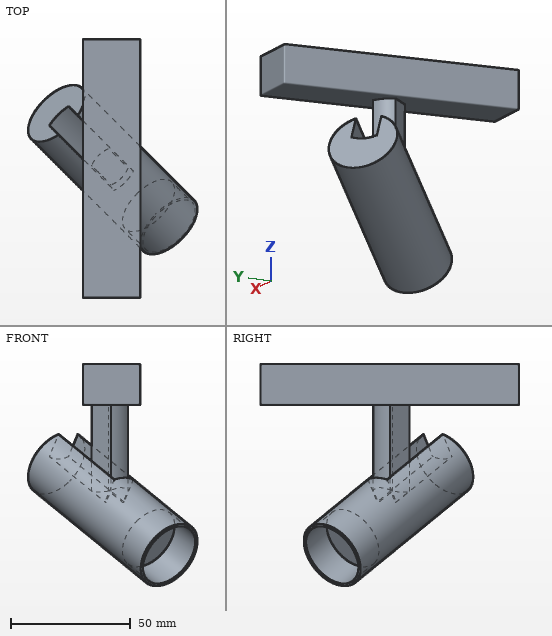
import cadquery as cq
import math

RAIL_LENGTH = 108.0
RAIL_WIDTH = 24.0
RAIL_HEIGHT = 17.2
RAIL_FILLET = 0.6

AIM_ANGLE = -45.0
TILT = 30.0

LAMP_DIAMETER = 30.0
LAMP_LENGTH = 76.77
LAMP_OFFSET = 0.7
OVERALL_HEIGHT = 92.69
BORE_DIAMETER = 27.6
BORE_DEPTH = 14.0

ARM_OFFSET = -1.0
ARM_THICKNESS = 10.0
ARM_FLAT_LENGTH = 11.5
ARM_END_BULGE = 0.95

SLOT_WIDTH = 11.3
SLOT_FLOOR_EDGE = 3.05
SLOT_FLOOR_SAG = 1.2
SLOT_END = -0.5
SLOT_END_BULGE = 0.4

LAMP_RADIUS = LAMP_DIAMETER / 2
TILT_RAD = math.radians(TILT)
LAMP_HALF_DROP = LAMP_LENGTH / 2 * math.sin(TILT_RAD) + LAMP_RADIUS * math.cos(TILT_RAD)
LAMP_CENTRE_Z = LAMP_HALF_DROP - OVERALL_HEIGHT
ARM_FOOT_Z = LAMP_CENTRE_Z


def make_rail():
    box = cq.Workplane("XY").box(RAIL_WIDTH, RAIL_LENGTH, RAIL_HEIGHT)
    return box.edges().fillet(RAIL_FILLET).translate((0, 0, -RAIL_HEIGHT / 2))


def make_arm():
    """Vertical bar from the rail's underside down into the lamp, long side on X."""
    half_flat = ARM_FLAT_LENGTH / 2
    half_thick = ARM_THICKNESS / 2
    tip = half_flat + ARM_END_BULGE
    return (
        cq.Workplane("XY", origin=(ARM_OFFSET, 0, ARM_FOOT_Z))
        .moveTo(-half_flat, -half_thick)
        .lineTo(half_flat, -half_thick)
        .threePointArc((tip, 0), (half_flat, half_thick))
        .lineTo(-half_flat, half_thick)
        .threePointArc((-tip, 0), (-half_flat, -half_thick))
        .close()
        .extrude(-RAIL_HEIGHT - ARM_FOOT_Z)
    )


def make_slot():
    """Cutter for the arm slot: its plan outline limited below by a curved floor."""
    half_width = SLOT_WIDTH / 2
    rear = -LAMP_LENGTH
    plan = (
        cq.Workplane("XY")
        .moveTo(rear, -half_width)
        .lineTo(SLOT_END, -half_width)
        .threePointArc((SLOT_END + SLOT_END_BULGE, 0), (SLOT_END, half_width))
        .lineTo(rear, half_width)
        .close()
        .extrude(LAMP_DIAMETER)
    )
    section = (
        cq.Workplane("YZ", origin=(rear, 0, 0))
        .moveTo(-half_width, LAMP_DIAMETER)
        .lineTo(-half_width, SLOT_FLOOR_EDGE)
        .threePointArc((0, SLOT_FLOOR_EDGE - SLOT_FLOOR_SAG), (half_width, SLOT_FLOOR_EDGE))
        .lineTo(half_width, LAMP_DIAMETER)
        .close()
        .extrude(2 * LAMP_LENGTH)
    )
    return plan.intersect(section)


def make_lamp():
    """Lamp built along X around its own centre, then tilted nose-down and moved into place."""
    body = (
        cq.Workplane("YZ", origin=(-LAMP_LENGTH / 2, 0, 0))
        .circle(LAMP_RADIUS)
        .extrude(LAMP_LENGTH)
    )
    bore = (
        cq.Workplane("YZ", origin=(LAMP_LENGTH / 2 - BORE_DEPTH, 0, 0))
        .circle(BORE_DIAMETER / 2)
        .extrude(BORE_DEPTH)
    )
    lamp = body.cut(bore).cut(make_slot())
    return lamp.rotate((0, 0, 0), (0, 1, 0), TILT).translate((LAMP_OFFSET, 0, LAMP_CENTRE_Z))


hanging = make_arm().union(make_lamp()).rotate((0, 0, 0), (0, 0, 1), AIM_ANGLE)
result = make_rail().union(hanging)